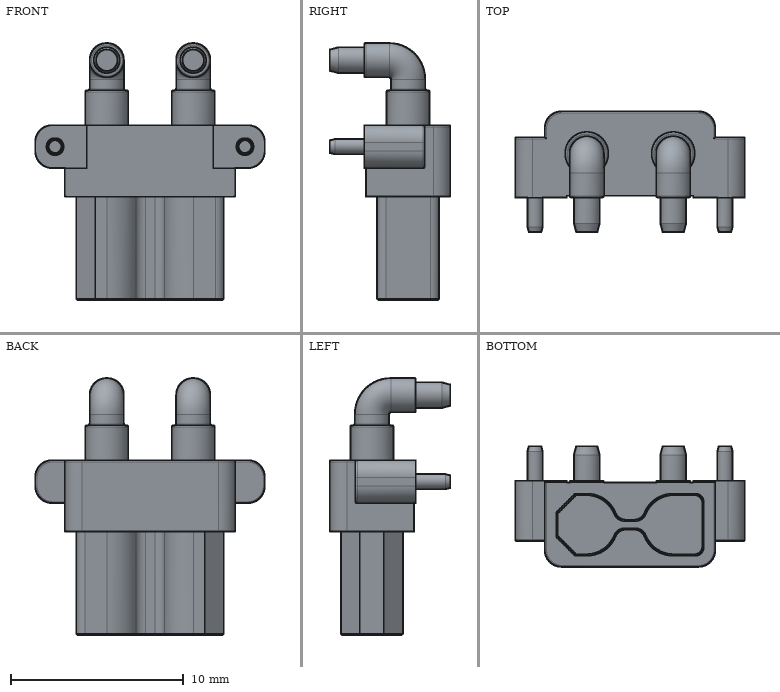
import cadquery as cq
import math


total_height = 14.9
total_width = 13.3

plug_height = 5.99
block_height = 4.15
block_width = 9.9
block_depth = 4.9
block_corner_radius = 1.0
edge_round = 0.1
block_top_z = plug_height + block_height

ear_height = 2.5
ear_length = 3.0
ear_depth = 3.5
ear_radius = 1.0
ear_proud = 0.1
front_y = -block_depth / 2 - ear_proud
ear_center_z = block_top_z - ear_height / 2

plug_width = 8.55
plug_depth = 3.6
plug_corner_cut = 1.1
plug_corner_radius = 0.5
plug_chamfer = 0.1
waist_half_depth = 0.3
waist_fillet = 0.6

contact_spacing = 5.0
collar_diameter = 2.5
collar_height = 2.01
collar_round = 0.1
neck_diameter = 2.0
neck_fillet = 0.1
bend_radius = 1.1
shoulder_round = 0.1
tail_diameter = 1.5
tail_taper_length = 0.5
tail_taper_depth = 0.13
tail_length = 2.0
tail_axis_z = total_height - neck_diameter / 2
tip_y = front_y - tail_length

pin_spacing = 11.0
pin_diameter = 0.9
pin_taper_length = 0.3
pin_taper_depth = 0.08
pin_hole_diameter = 1.0
pin_hole_depth = 2.0


def make_block():
    block = (
        cq.Workplane("XY")
        .workplane(offset=plug_height)
        .rect(block_width, block_depth)
        .extrude(block_height)
        .edges("|Z and >Y")
        .fillet(block_corner_radius)
    )
    return block.faces("<Z or >Z").edges("not(<Y)").fillet(edge_round)


def make_ear(side):
    """One mounting ear, side = -1 for -X or +1 for +X; its inner end lies inside the block."""
    outer, inner = ("<X", ">X") if side < 0 else (">X", "<X")
    return (
        cq.Workplane("XZ", origin=(side * (total_width - ear_length) / 2, front_y, ear_center_z))
        .rect(ear_length, ear_height)
        .extrude(-ear_depth)
        .edges(f"|Y and {outer}")
        .fillet(ear_radius)
        .faces(">Y")
        .edges(f"not({inner})")
        .fillet(edge_round)
    )


def make_plug():
    """Two lobes around the contact axes, joined by a thin waist with concave fillets."""
    lobe_x = contact_spacing / 2
    lobe_radius = plug_depth / 2
    end_x = plug_width / 2
    cut_x = -end_x + plug_corner_cut
    cut_y = lobe_radius - plug_corner_cut
    round_x = end_x - plug_corner_radius
    round_y = lobe_radius - plug_corner_radius
    round_mid = plug_corner_radius * math.sqrt(0.5)

    fillet_y = waist_half_depth + waist_fillet
    center_distance = lobe_radius + waist_fillet
    fillet_dx = math.sqrt(center_distance**2 - fillet_y**2)
    fillet_x = lobe_x - fillet_dx
    touch_x = lobe_x - fillet_dx * lobe_radius / center_distance
    touch_y = fillet_y * lobe_radius / center_distance

    mid_angle = (math.pi / 2 + math.atan2(fillet_y, fillet_dx)) / 2
    lobe_mid_x = lobe_x - lobe_radius * math.cos(mid_angle)
    lobe_mid_y = lobe_radius * math.sin(mid_angle)
    fillet_mid_x = fillet_x + waist_fillet * math.cos(mid_angle)
    fillet_mid_y = fillet_y - waist_fillet * math.sin(mid_angle)

    half = (
        cq.Workplane("XY")
        .moveTo(-end_x, 0)
        .lineTo(-end_x, cut_y)
        .lineTo(cut_x, lobe_radius)
        .lineTo(-lobe_x, lobe_radius)
        .threePointArc((-lobe_mid_x, lobe_mid_y), (-touch_x, touch_y))
        .threePointArc((-fillet_mid_x, fillet_mid_y), (-fillet_x, waist_half_depth))
        .lineTo(fillet_x, waist_half_depth)
        .threePointArc((fillet_mid_x, fillet_mid_y), (touch_x, touch_y))
        .threePointArc((lobe_mid_x, lobe_mid_y), (lobe_x, lobe_radius))
        .lineTo(round_x, lobe_radius)
        .threePointArc((round_x + round_mid, round_y + round_mid), (end_x, round_y))
        .lineTo(end_x, 0)
    )
    return half.mirrorX().extrude(plug_height).faces("<Z").edges().chamfer(plug_chamfer)


def make_pin_holes():
    """The blind holes for the mounting pins, as solids to cut from the housing."""
    return (
        cq.Workplane("XZ", origin=(0, front_y, ear_center_z))
        .pushPoints([(-pin_spacing / 2, 0), (pin_spacing / 2, 0)])
        .circle(pin_hole_diameter / 2)
        .extrude(-pin_hole_depth)
    )


def make_housing():
    housing = make_block().union(make_ear(-1)).union(make_ear(1)).union(make_plug())
    return housing.cut(make_pin_holes())


def make_tapered_rod(diameter, taper_length, taper_depth, x, start_y, z):
    """A round rod from start_y toward -Y, tapered at its tip."""
    return (
        cq.Workplane("XZ", origin=(x, start_y, z))
        .circle(diameter / 2)
        .extrude(start_y - tip_y)
        .faces("<Y")
        .chamfer(taper_length, taper_depth)
    )


def make_contact(x):
    """A bent contact: a collar standing on the housing, a neck, an elbow and a tail toward -Y."""
    collar_radius = collar_diameter / 2
    neck_radius = neck_diameter / 2
    collar_top_z = block_top_z + collar_height
    fillet_top_z = collar_top_z + neck_fillet
    bend_z = tail_axis_z - bend_radius
    round_mid = collar_round * (1 - math.sqrt(0.5))
    fillet_mid = neck_fillet * (1 - math.sqrt(0.5))

    post = (
        cq.Workplane("XZ")
        .moveTo(0, block_top_z)
        .lineTo(collar_radius, block_top_z)
        .lineTo(collar_radius, collar_top_z - collar_round)
        .threePointArc(
            (collar_radius - round_mid, collar_top_z - round_mid),
            (collar_radius - collar_round, collar_top_z),
        )
        .lineTo(neck_radius + neck_fillet, collar_top_z)
        .threePointArc((neck_radius + fillet_mid, collar_top_z + fillet_mid), (neck_radius, fillet_top_z))
        .lineTo(neck_radius, bend_z)
        .lineTo(0, bend_z)
        .close()
        .revolve(360, (0, 0), (0, 1))
    )
    elbow = (
        cq.Workplane("XY", origin=(0, 0, bend_z))
        .circle(neck_radius)
        .revolve(90, (0, -bend_radius), (1, -bend_radius))
    )
    tail = (
        cq.Workplane("XZ", origin=(0, -bend_radius, tail_axis_z))
        .circle(neck_radius)
        .extrude(-front_y - bend_radius)
        .faces("<Y")
        .edges()
        .fillet(shoulder_round)
        .union(make_tapered_rod(tail_diameter, tail_taper_length, tail_taper_depth, 0, front_y, tail_axis_z))
    )
    return post.union(elbow).union(tail).translate((x, 0, 0))


def make_mounting_pin(x):
    """A straight pin that stands on the bottom of its hole."""
    hole_bottom_y = front_y + pin_hole_depth
    return make_tapered_rod(pin_diameter, pin_taper_length, pin_taper_depth, x, hole_bottom_y, ear_center_z)


housing = make_housing()
contacts = [make_contact(side * contact_spacing / 2) for side in (-1, 1)]
mounting_pins = [make_mounting_pin(side * pin_spacing / 2) for side in (-1, 1)]

bodies = [housing, *contacts, *mounting_pins]
result = cq.Compound.makeCompound([body.solids().val() for body in bodies])